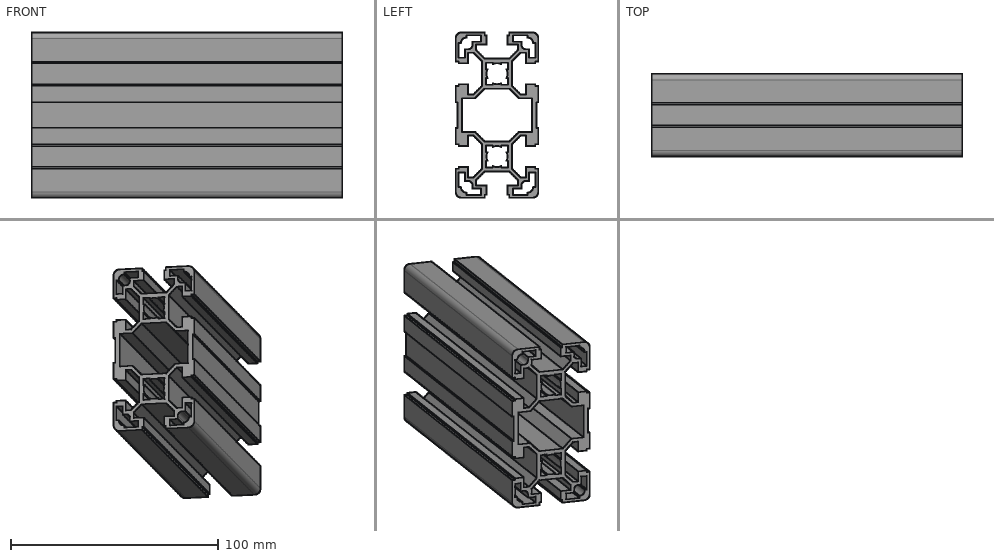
import cadquery as cq
import math

length = 150.0
height = length * 8 / 15
cell = height / 2
half_cell = cell / 2
corner_radius = 3.0

slot_width = 10.0
slot_half_width = slot_width / 2
mouth_half_width = 5.8
mouth_depth = 1.5
lip_depth = 6.0
cavity_half_width = 10.0

core_half = 7.4
web_offset = 1.4
bore_diameter = 10.0
bore_half = 5.2
bore_corner_start = 2.1

outer_wall = 1.5
hollow_start = 7.8
step_wall = 1.5
cavity_wall = 1.8
inner_fillet = 2.1
thick_corner_start = 14.7
thick_corner_radius = 2.7

chamber_half_width = 16.8
chamber_half_height = 8.1
recess_depth = 0.9
recess_half_height = 6.2


def section(points):
    """Extrude a closed (y, z) outline over the whole length."""
    return cq.Workplane("YZ").polyline(points).close().extrude(length)


def slot_cutter():
    """T-slot opening toward +z, drawn about the cell centre."""
    lip_bottom = half_cell - lip_depth
    mouth_bottom = half_cell - mouth_depth
    right = [
        (core_half - web_offset, core_half),
        (cavity_half_width, cavity_half_width + web_offset),
        (cavity_half_width, lip_bottom),
        (slot_half_width, lip_bottom),
        (slot_half_width, mouth_bottom),
        (mouth_half_width, mouth_bottom),
        (mouth_half_width, half_cell),
    ]
    left = [(-y, z) for y, z in reversed(right)]
    return section(right + left)


def bore_cutter():
    """Round core bore with a square relief in each corner, about the cell centre."""
    bore = cq.Workplane("YZ").circle(bore_diameter / 2).extrude(length)
    relief_width = bore_half - bore_corner_start
    relief_centre = (bore_half + bore_corner_start) / 2
    reliefs = (
        cq.Workplane("YZ")
        .rect(2 * relief_centre, 2 * relief_centre, forConstruction=True)
        .vertices()
        .rect(relief_width, relief_width)
        .extrude(length)
    )
    return bore.union(reliefs)


def corner_hollow():
    """L-shaped hollow in the (+y, +z) corner of a cell, drawn about the cell centre."""
    outer = half_cell - outer_wall
    arm_inner = half_cell - lip_depth + step_wall
    elbow = cavity_half_width + cavity_wall
    fillet_end = elbow + inner_fillet
    fillet_middle = fillet_end - inner_fillet * math.sqrt(0.5)
    arc_end = thick_corner_start + thick_corner_radius
    arc_middle = thick_corner_start + thick_corner_radius * math.sqrt(0.5)
    return (
        cq.Workplane("YZ")
        .moveTo(hollow_start, outer)
        .lineTo(thick_corner_start, outer)
        .lineTo(thick_corner_start, arc_end)
        .threePointArc((arc_middle, arc_middle), (arc_end, thick_corner_start))
        .lineTo(outer, thick_corner_start)
        .lineTo(outer, hollow_start)
        .lineTo(arm_inner, hollow_start)
        .lineTo(arm_inner, elbow)
        .lineTo(fillet_end, elbow)
        .threePointArc((fillet_middle, fillet_middle), (elbow, fillet_end))
        .lineTo(elbow, arm_inner)
        .lineTo(hollow_start, arm_inner)
        .close()
        .extrude(length)
    )


def cell_cutters():
    """Everything removed from the upper cell, placed in the section."""
    slot = slot_cutter()
    hollow = corner_hollow()
    cutters = [bore_cutter(), slot, hollow, hollow.mirror("XZ")]
    for angle in (90, -90):
        cutters.append(slot.rotate((0, 0, 0), (1, 0, 0), angle))
    return [cutter.translate((0, 0, half_cell)) for cutter in cutters]


def chamber_cutter():
    """Middle chamber, its top and bottom bounded by the webs and the cores."""
    core_face = half_cell - core_half
    web_start = half_cell - chamber_half_height - web_offset
    upper_right = [
        (chamber_half_width, chamber_half_height),
        (web_start, chamber_half_height),
        (core_half - web_offset, core_face),
    ]
    upper_left = [(-y, z) for y, z in reversed(upper_right)]
    upper = upper_right + upper_left
    lower = [(-y, -z) for y, z in upper]
    return section(upper + lower)


body = cq.Workplane("XY").box(length, cell, height).translate((length / 2, 0, 0))
body = body.edges("|X").fillet(corner_radius)

for cutter in cell_cutters():
    body = body.cut(cutter).cut(cutter.mirror("XY"))

body = body.cut(chamber_cutter())

for side in (-1, 1):
    recess = cq.Workplane("XY").box(length, 2 * recess_depth, 2 * recess_half_height)
    body = body.cut(recess.translate((length / 2, side * half_cell, 0)))

result = body.translate((-length / 2, 0, 0))